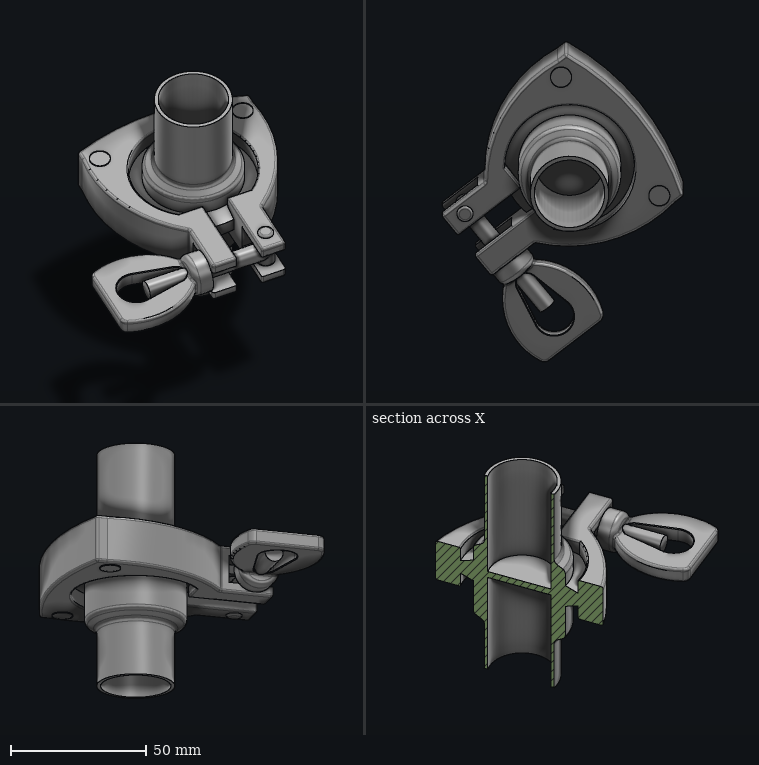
import cadquery as cq
import math

PIPE_LENGTH = 90.0
PIPE_RADIUS = 29.0 / 2
BORE_RADIUS = 26.0 / 2
COLLAR_RADIUS = 38.0 / 2
COLLAR_TOP = 9.7
COLLAR_BOTTOM = -19.5
SHOULDER_HEIGHT = 4.7
SHOULDER_ANGLE = math.radians(30)
SHOULDER_FILLET = 2.2
WEB_THICKNESS = 3.0

CLAMP_Z = -0.9
CLAMP_HEIGHT = 18.2
BACK_X = -32.85
CORNER_X = -26.2
CORNER_Y = 35.0
SIDE_RADIUS = 54.0
SIDE_PEAK_X = -14.2
HALF_WIDTH = 35.6
FLANK_START_X = -22.2
OPENING_RADIUS = 24.0
OPENING_FLAT_X = 18.9
OUTER_FILLET = 1.1
INNER_FILLET = 0.6
ARM_ROOT_FILLET = 1.0

ARM_END_X = 48.9
ARM_OUTER_Y = 15.0
GAP_HALF = 5.05
SLOT_START_X = 31.5
SLOT_HEIGHT = 10.4

FLANGE_RADIUS = 25.0
FLANGE_RIM_HALF = 2.7
FLANGE_ROOT_HALF = 4.9

RIVET_RADIUS = 7.8 / 2
RIVET_X = -19.2
RIVET_Y = 29.2
RIVET_HEIGHT = 18.9

BOLT_X = 41.4
BOLT_RADIUS = 7.0 / 2
BOLT_END_Y = -38.7
PIN_RADIUS = 6.0 / 2
PIN_Y = 10.1
PIN_HEIGHT = 19.8
PIN_FILLET = 0.9
EYE_HEIGHT = 10.0

NUT_RADIUS = 16.0 / 2
NUT_END_Y = -22.2
NUT_FILLET = 2.2
NECK_FILLET = 0.8
HANDLE_THICKNESS = 6.0
HANDLE_TOP_Y = -20.5
HANDLE_END_Y = -55.1
HANDLE_HALF_WIDTH = 16.9
HANDLE_SIDE_RADIUS = 27.0
HANDLE_WIDEST_Y = -42.8
HANDLE_CORNER = 3.0
HANDLE_FILLET = 1.0
WINDOW_LARGE_RADIUS = 7.3
WINDOW_LARGE_Y = -42.8
WINDOW_SMALL_RADIUS = 3.9
WINDOW_SMALL_Y = -26.6
WINDOW_CHAMFER = 0.3


def plate(outline, height):
    """Extrude a closed outline evenly about the plane it lies in."""
    return outline.extrude(height / 2, both=True)


def mid_plane():
    return cq.Workplane("XY", origin=(0, 0, CLAMP_Z))


def upright(x, y, radius, height):
    return plate(mid_plane().center(x, y).circle(radius), height)


def make_pipe():
    half = PIPE_LENGTH / 2
    cone_height = (COLLAR_RADIUS - PIPE_RADIUS) * math.tan(SHOULDER_ANGLE)
    inset = (SHOULDER_HEIGHT - cone_height) / 2
    upper_cone = COLLAR_TOP + inset
    lower_cone = COLLAR_BOTTOM - inset
    pipe = (
        cq.Workplane("XZ")
        .polyline([
            (0, half),
            (PIPE_RADIUS, half),
            (PIPE_RADIUS, upper_cone + cone_height),
            (COLLAR_RADIUS, upper_cone),
            (COLLAR_RADIUS, lower_cone),
            (PIPE_RADIUS, lower_cone - cone_height),
            (PIPE_RADIUS, -half),
            (0, -half),
        ])
        .close()
        .revolve(360, (0, 0, 0), (0, 1, 0))
    )
    shoulder_edges = cq.selectors.BoxSelector(
        (-COLLAR_RADIUS * 2, -COLLAR_RADIUS * 2, COLLAR_BOTTOM - SHOULDER_HEIGHT * 2),
        (COLLAR_RADIUS * 2, COLLAR_RADIUS * 2, COLLAR_TOP + SHOULDER_HEIGHT * 2),
    )
    return pipe.edges("%CIRCLE").edges(shoulder_edges).fillet(SHOULDER_FILLET)


def make_bores():
    depth = PIPE_LENGTH
    upper = cq.Workplane("XY", origin=(0, 0, CLAMP_Z + WEB_THICKNESS / 2)).circle(BORE_RADIUS).extrude(depth)
    lower = cq.Workplane("XY", origin=(0, 0, CLAMP_Z - WEB_THICKNESS / 2)).circle(BORE_RADIUS).extrude(-depth)
    return upper.union(lower)


def make_flange():
    return (
        cq.Workplane("XZ")
        .polyline([
            (0, CLAMP_Z - FLANGE_ROOT_HALF),
            (COLLAR_RADIUS, CLAMP_Z - FLANGE_ROOT_HALF),
            (FLANGE_RADIUS, CLAMP_Z - FLANGE_RIM_HALF),
            (FLANGE_RADIUS, CLAMP_Z + FLANGE_RIM_HALF),
            (COLLAR_RADIUS, CLAMP_Z + FLANGE_ROOT_HALF),
            (0, CLAMP_Z + FLANGE_ROOT_HALF),
        ])
        .close()
        .revolve(360, (0, 0, 0), (0, 1, 0))
    )


def make_clamp():
    center_y = HALF_WIDTH - SIDE_RADIUS

    def flank_y(x):
        return center_y + math.sqrt(SIDE_RADIUS**2 - (x - SIDE_PEAK_X) ** 2)

    arm_start_x = SIDE_PEAK_X + math.sqrt(SIDE_RADIUS**2 - (ARM_OUTER_Y - center_y) ** 2)
    flank_mid_x = (FLANK_START_X + arm_start_x) / 2
    outline = (
        mid_plane()
        .moveTo(CORNER_X, -CORNER_Y)
        .threePointArc((BACK_X, 0), (CORNER_X, CORNER_Y))
        .lineTo(FLANK_START_X, flank_y(FLANK_START_X))
        .threePointArc((flank_mid_x, flank_y(flank_mid_x)), (arm_start_x, ARM_OUTER_Y))
        .lineTo(ARM_END_X, ARM_OUTER_Y)
        .lineTo(ARM_END_X, -ARM_OUTER_Y)
        .lineTo(arm_start_x, -ARM_OUTER_Y)
        .threePointArc((flank_mid_x, -flank_y(flank_mid_x)), (FLANK_START_X, -flank_y(FLANK_START_X)))
        .close()
    )
    body = plate(outline, CLAMP_HEIGHT)
    body = body.edges("|Z").edges("<X or >X").fillet(OUTER_FILLET)
    root_zone = cq.selectors.BoxSelector(
        (arm_start_x - ARM_ROOT_FILLET, -2 * ARM_OUTER_Y, -CLAMP_HEIGHT),
        (arm_start_x + ARM_ROOT_FILLET, 2 * ARM_OUTER_Y, CLAMP_HEIGHT),
    )
    body = body.edges("|Z").edges(root_zone).fillet(ARM_ROOT_FILLET)
    body = body.faces("<Z or >Z").edges().fillet(OUTER_FILLET)

    opening = upright(0, 0, OPENING_RADIUS, CLAMP_HEIGHT)
    beyond_flat = mid_plane().moveTo(OPENING_FLAT_X + OPENING_RADIUS, 0)
    opening = opening.cut(plate(beyond_flat.rect(2 * OPENING_RADIUS, 2 * OPENING_RADIUS), CLAMP_HEIGHT))
    gap = plate(mid_plane().moveTo(ARM_END_X / 2, 0).rect(ARM_END_X + 1, 2 * GAP_HALF), CLAMP_HEIGHT)
    body = body.cut(opening.union(gap))

    rim_zone = cq.selectors.BoxSelector(
        (-OPENING_RADIUS, -ARM_OUTER_Y + OUTER_FILLET, -CLAMP_HEIGHT),
        (ARM_END_X - OUTER_FILLET, ARM_OUTER_Y - OUTER_FILLET, CLAMP_HEIGHT),
    )
    body = body.faces("<Z or >Z").edges(rim_zone).fillet(INNER_FILLET)

    slot = cq.Workplane("XY").box(ARM_END_X, 3 * ARM_OUTER_Y, SLOT_HEIGHT, centered=(False, True, True))
    return body.cut(slot.translate((SLOT_START_X, 0, CLAMP_Z)))


def make_rivets():
    rivets = upright(RIVET_X, RIVET_Y, RIVET_RADIUS, RIVET_HEIGHT)
    return rivets.union(upright(RIVET_X, -RIVET_Y, RIVET_RADIUS, RIVET_HEIGHT))


def along_bolt(radius, start_y, end_y):
    """Cylinder on the bolt axis, running toward -Y."""
    plane = cq.Workplane("XZ", origin=(BOLT_X, start_y, CLAMP_Z))
    return plane.circle(radius).extrude(start_y - end_y)


def make_bolt():
    pin = upright(BOLT_X, PIN_Y, PIN_RADIUS, PIN_HEIGHT).edges("%CIRCLE").fillet(PIN_FILLET)
    eye = upright(BOLT_X, PIN_Y, BOLT_RADIUS, EYE_HEIGHT)
    return along_bolt(BOLT_RADIUS, PIN_Y, BOLT_END_Y).union(eye).union(pin)


def window_outline(z, growth):
    """Teardrop at height z: tangent lines join a small and a large circle."""
    small_radius = WINDOW_SMALL_RADIUS + growth
    large_radius = WINDOW_LARGE_RADIUS + growth
    tilt = math.asin((large_radius - small_radius) / (WINDOW_SMALL_Y - WINDOW_LARGE_Y))
    small_x = small_radius * math.cos(tilt)
    small_y = WINDOW_SMALL_Y + small_radius * math.sin(tilt)
    large_x = large_radius * math.cos(tilt)
    large_y = WINDOW_LARGE_Y + large_radius * math.sin(tilt)
    return (
        cq.Workplane("XY", origin=(BOLT_X, 0, z))
        .moveTo(small_x, small_y)
        .threePointArc((0, WINDOW_SMALL_Y + small_radius), (-small_x, small_y))
        .lineTo(-large_x, large_y)
        .threePointArc((0, WINDOW_LARGE_Y - large_radius), (large_x, large_y))
        .close()
    )


def make_handle_window():
    """Cutting body: a straight teardrop that flares at both faces of the handle."""
    half = HANDLE_THICKNESS / 2
    window = plate(window_outline(CLAMP_Z, 0), HANDLE_THICKNESS)
    for side in (1, -1):
        flare = window_outline(CLAMP_Z + side * half, WINDOW_CHAMFER).extrude(-side * WINDOW_CHAMFER, taper=45)
        window = window.union(flare)
    return window


def make_wing_nut():
    def half_width(y):
        drop = math.sqrt(HANDLE_SIDE_RADIUS**2 - (y - HANDLE_WIDEST_Y) ** 2)
        return HANDLE_HALF_WIDTH - HANDLE_SIDE_RADIUS + drop

    top = half_width(HANDLE_TOP_Y)
    end = half_width(HANDLE_END_Y)
    outline = (
        mid_plane()
        .center(BOLT_X, 0)
        .moveTo(-top, HANDLE_TOP_Y)
        .threePointArc((-HANDLE_HALF_WIDTH, HANDLE_WIDEST_Y), (-end, HANDLE_END_Y))
        .lineTo(end, HANDLE_END_Y)
        .threePointArc((HANDLE_HALF_WIDTH, HANDLE_WIDEST_Y), (top, HANDLE_TOP_Y))
        .close()
    )
    handle = plate(outline, HANDLE_THICKNESS)
    handle = handle.edges("|Z").edges("<Y").fillet(HANDLE_CORNER)
    handle = handle.faces("<Z or >Z").edges().fillet(HANDLE_FILLET)
    nut = along_bolt(NUT_RADIUS, -ARM_OUTER_Y, NUT_END_Y).faces("<Y").edges().fillet(NUT_FILLET)
    joint_zone = cq.selectors.BoxSelector(
        (BOLT_X - NUT_RADIUS, NUT_END_Y - 0.05, CLAMP_Z - NUT_RADIUS),
        (BOLT_X + NUT_RADIUS, NUT_END_Y + 0.05, CLAMP_Z + NUT_RADIUS),
    )
    wing_nut = handle.union(nut)
    wing_nut = wing_nut.edges(joint_zone).edges("%LINE").fillet(NECK_FILLET)
    return wing_nut.cut(make_handle_window())


result = (
    make_pipe()
    .union(make_flange())
    .cut(make_bores())
    .union(make_clamp())
    .union(make_rivets())
    .union(make_bolt())
    .union(make_wing_nut())
)